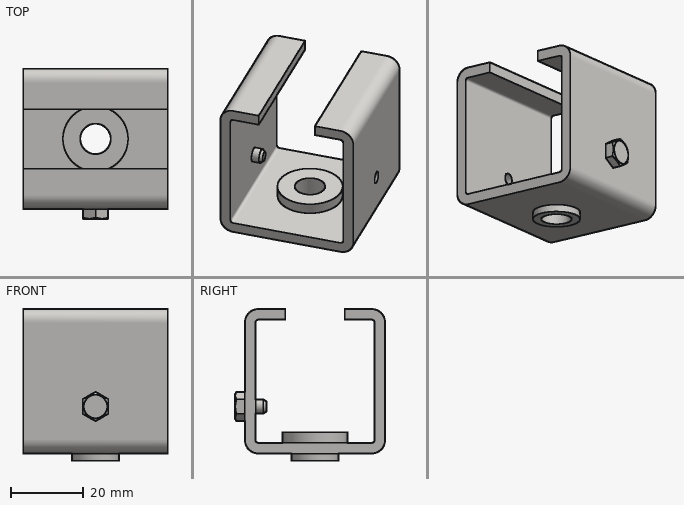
import cadquery as cq
import math

length = 40.0
channel_height = 40.0
channel_depth = 38.8
wall = 3.0
outer_radius = 3.8
inner_radius = outer_radius - wall
slot_width = 16.4

flange_diameter = 18.0
flange_height = 3.0
spigot_diameter = 13.0
spigot_drop = 2.0
bore_diameter = 8.35

screw_height = 13.0
screw_diameter = 4.0
hex_width = 7.0
head_face_diameter = 6.45
head_height = 2.77
head_cone_angle = math.radians(30)
shank_reach = 3.02
tip_diameter = 2.65
tip_length = 0.85
rear_hole_diameter = 3.25

front_face = -channel_depth / 2
inner_front_face = front_face + wall


def cylinder_y(diameter, start, end):
    """Cylinder on the screw axis between two Y positions."""
    plane = cq.Plane(origin=(0, start, screw_height), xDir=(1, 0, 0), normal=(0, 1, 0))
    return cq.Workplane(plane).circle(diameter / 2).extrude(end - start)


def make_channel():
    outer = (
        cq.Workplane("XY")
        .box(length, channel_depth, channel_height, centered=(True, True, False))
        .edges("|X")
        .fillet(outer_radius)
    )
    cavity = (
        cq.Workplane("XY")
        .box(length, channel_depth - 2 * wall, channel_height - 2 * wall, centered=(True, True, False))
        .edges("|X")
        .fillet(inner_radius)
        .translate((0, 0, wall))
    )
    slot = (
        cq.Workplane("XY", origin=(0, 0, channel_height / 2))
        .box(length, slot_width, channel_height, centered=(True, True, False))
    )
    rear_hole = cylinder_y(rear_hole_diameter, 0, channel_depth)
    return outer.cut(cavity).cut(slot).cut(rear_hole)


def make_bushing():
    spigot = (
        cq.Workplane("XY", origin=(0, 0, -spigot_drop))
        .circle(spigot_diameter / 2)
        .extrude(spigot_drop + wall)
    )
    flange = cq.Workplane("XY", origin=(0, 0, wall)).circle(flange_diameter / 2).extrude(flange_height)
    return spigot.union(flange)


def make_screw():
    hex_corners = hex_width / math.cos(math.pi / 6)
    head_plane = cq.Plane(origin=(0, front_face, screw_height), xDir=(0, 0, 1), normal=(0, -1, 0))
    head = cq.Workplane(head_plane).polygon(6, hex_corners).extrude(head_height)
    corner_trim = (hex_corners - head_face_diameter) / 2
    trim = (
        cq.Workplane(head_plane)
        .circle(hex_corners / 2)
        .extrude(head_height)
        .faces("<Y")
        .chamfer(corner_trim * math.tan(head_cone_angle), corner_trim)
    )
    tip_taper = (screw_diameter - tip_diameter) / 2
    shank = (
        cylinder_y(screw_diameter, front_face, inner_front_face + shank_reach)
        .faces(">Y")
        .chamfer(tip_length, tip_taper)
    )
    return head.intersect(trim).union(shank)


bore = (
    cq.Workplane("XY", origin=(0, 0, -spigot_drop))
    .circle(bore_diameter / 2)
    .extrude(spigot_drop + wall + flange_height)
)

result = make_channel().union(make_bushing()).cut(bore).union(make_screw())